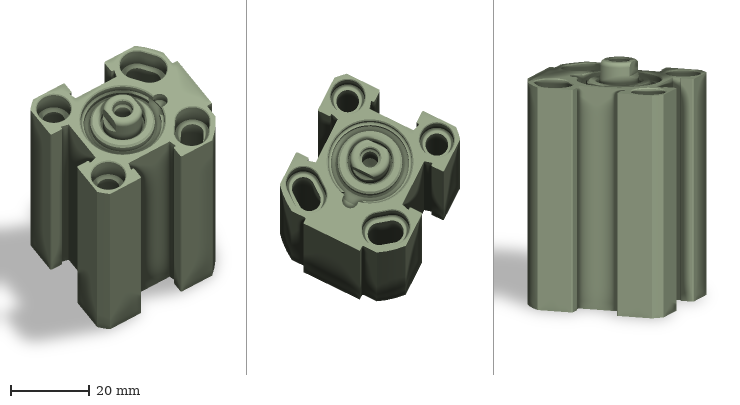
import cadquery as cq
import math


total_height = 63.0
housing_height = 58.0

housing_half_width = 36.0 / 2
housing_back = 20.5
corner_radius = 23.8
tab_half_width = 8.05
tab_back = 40.0 - housing_half_width
tab_root_chamfer = 0.25

slot_mouth_half_width = 6.05
slot_mouth_radius = 0.4
slot_lip_chamfer = 0.2
slot_lip_distance = 14.4
slot_undercut_half_width = 6.85
slot_floor_half_width = 6.3
slot_floor_distance = 12.35

hole_offset = 12.7
hole_diameter = 5.8
counterbore_diameter = 8.8
counterbore_depth = 5.5
counterbore_chamfer = 0.25
elongation_x = 2.8
elongation_y = 2.1

bore_diameter = 21.6
bore_chamfer = 0.3
bore_depth = 12.6
bore_floor = housing_height - bore_depth

ring_outer_diameter = 22.8
ring_inner_diameter = 20.0
ring_thickness = 1.15
ring_top = housing_height - 1.8
ring_bottom = ring_top - ring_thickness
ring_gap_half_width = 2.5
ring_gap_flare = math.radians(29)

notch_diameter = 4.15
notch_distance = 11.3
notch_depth = 2.5

boss_diameter = 16.5
boss_top = housing_height - 0.4
boss_chamfer = 0.5
boss_foot_diameter = 17.6
collar_recess_diameter = 11.4
collar_recess_chamfer = 0.5
collar_recess_depth = 2.0
collar_lead_in_diameter = 10.45

rod_diameter = 10.0
rod_tip_fillet = 1.15
flat_distance = 8.0 / 2
flat_height = 3.5
rod_hole_rim_diameter = 5.8
rod_hole_entry_diameter = 5.2
rod_hole_entry_depth = 1.8
rod_hole_diameter = 4.15
rod_hole_depth = 10.1
drill_tip_half_angle = math.radians(59)


def cylinder(diameter, bottom, top, centre=(0, 0), taper=0):
    """Upright cylinder between two heights; a negative taper widens it upward."""
    return (
        cq.Workplane("XY")
        .workplane(offset=bottom)
        .center(*centre)
        .circle(diameter / 2)
        .extrude(top - bottom, taper=taper)
    )


def revolve_profile(points):
    """Turn a closed (radius, height) profile around the Z axis."""
    return cq.Workplane("XZ").polyline(points).close().revolve(360, (0, 0, 0), (0, 1, 0))


def rounded_block():
    """Plain block whose corners follow one large cylinder around the Z axis."""
    depth = housing_half_width + housing_back
    block = (
        cq.Workplane("XY")
        .center(0, (housing_back - housing_half_width) / 2)
        .rect(2 * housing_half_width, depth)
        .extrude(housing_height)
    )
    return block.intersect(cylinder(2 * corner_radius, 0, housing_height))


def back_tab():
    """Raised flat along the back face, widened by a small chamfer at its root."""
    root_half_width = tab_half_width + tab_root_chamfer
    half_outline = [
        (root_half_width, 0),
        (root_half_width, housing_back),
        (tab_half_width, housing_back + tab_root_chamfer),
        (tab_half_width, tab_back),
    ]
    mirrored = [(-x, y) for x, y in reversed(half_outline)]
    return cq.Workplane("XY").polyline(half_outline + mirrored).close().extrude(housing_height)


def face_slot(angle):
    """Front undercut slot cutter with rounded mouth edges, turned by an angle about the Z axis."""
    half_outline = [
        (slot_mouth_half_width + slot_mouth_radius, -housing_half_width),
        (slot_mouth_half_width, -housing_half_width + slot_mouth_radius),
        (slot_mouth_half_width, -slot_lip_distance - slot_lip_chamfer),
        (slot_mouth_half_width + slot_lip_chamfer, -slot_lip_distance),
        (slot_undercut_half_width, -slot_lip_distance),
        (slot_floor_half_width, -slot_floor_distance),
    ]
    mirrored = [(-x, y) for x, y in reversed(half_outline)]
    cutter = (
        cq.Workplane("XY")
        .moveTo(*half_outline[0])
        .radiusArc(half_outline[1], slot_mouth_radius)
        .polyline(half_outline[2:] + mirrored[:-1], includeCurrent=True)
        .radiusArc(mirrored[-1], slot_mouth_radius)
        .close()
        .extrude(housing_height)
    )
    return cutter.rotate((0, 0, 0), (0, 0, 1), angle)


def elongated_cylinder(diameter, bottom, top, start, end, taper=0):
    """Upright obround between two end centres; a negative taper widens it upward."""
    length = math.dist(start, end)
    angle = math.degrees(math.atan2(end[1] - start[1], end[0] - start[0]))
    middle = ((start[0] + end[0]) / 2, (start[1] + end[1]) / 2)
    return (
        cq.Workplane("XY")
        .workplane(offset=bottom)
        .center(*middle)
        .slot2D(length + diameter, diameter, angle)
        .extrude(top - bottom, taper=taper)
    )


def mounting_hole(make_shape, *centres):
    """Counterbored through hole with a chamfered rim; make_shape gives it a round or obround section."""
    floor = housing_height - counterbore_depth
    rim_bottom = housing_height - counterbore_chamfer
    through = make_shape(hole_diameter, 0, housing_height, *centres)
    counterbore = make_shape(counterbore_diameter, floor, housing_height, *centres)
    rim = make_shape(counterbore_diameter, rim_bottom, housing_height, *centres, taper=-45)
    return through.union(counterbore).union(rim)


def bore_cutter():
    """Chamfered bore with the groove for the retaining ring."""
    bore_radius = bore_diameter / 2
    groove_radius = ring_outer_diameter / 2
    return revolve_profile([
        (0, bore_floor),
        (bore_radius, bore_floor),
        (bore_radius, ring_bottom),
        (groove_radius, ring_bottom),
        (groove_radius, ring_top),
        (bore_radius, ring_top),
        (bore_radius, housing_height - bore_chamfer),
        (bore_radius + bore_chamfer, housing_height),
        (0, housing_height),
    ])


def make_housing():
    body = rounded_block().union(back_tab())
    for angle in (-90, 0, 90):
        body = body.cut(face_slot(angle))
    for side in (-1, 1):
        front_centre = (side * hole_offset, -hole_offset)
        back_outer = (side * hole_offset, hole_offset)
        back_inner = (side * (hole_offset - elongation_x), hole_offset + elongation_y)
        body = body.cut(mounting_hole(cylinder, front_centre))
        body = body.cut(mounting_hole(elongated_cylinder, back_outer, back_inner))
    notch = cylinder(
        notch_diameter, housing_height - notch_depth, housing_height, (0, notch_distance)
    )
    return body.cut(bore_cutter()).cut(notch)


def make_retaining_ring():
    """Split ring whose gap flares outward."""
    inner_radius = ring_inner_diameter / 2
    outer_radius = ring_outer_diameter / 2
    gap_inner_y = math.sqrt(inner_radius**2 - ring_gap_half_width**2)
    flare_width = (outer_radius - gap_inner_y) / math.tan(ring_gap_flare)
    gap_outer_half_width = ring_gap_half_width + flare_width
    gap = (
        cq.Workplane("XY")
        .workplane(offset=ring_bottom)
        .polyline([
            (-ring_gap_half_width, 0),
            (ring_gap_half_width, 0),
            (ring_gap_half_width, gap_inner_y),
            (gap_outer_half_width, outer_radius),
            (-gap_outer_half_width, outer_radius),
            (-ring_gap_half_width, gap_inner_y),
        ])
        .close()
        .extrude(ring_thickness)
    )
    ring = cylinder(ring_outer_diameter, ring_bottom, ring_top)
    return ring.cut(cylinder(ring_inner_diameter, ring_bottom, ring_top)).cut(gap)


def make_collar():
    """Turned collar with a raised boss and a stepped rod bore."""
    boss_radius = boss_diameter / 2
    foot_radius = boss_foot_diameter / 2
    recess_radius = collar_recess_diameter / 2
    lead_in_radius = collar_lead_in_diameter / 2
    rod_radius = rod_diameter / 2
    recess_floor = boss_top - collar_recess_depth
    return revolve_profile([
        (rod_radius, bore_floor),
        (bore_diameter / 2, bore_floor),
        (bore_diameter / 2, ring_bottom),
        (foot_radius, ring_bottom),
        (boss_radius, ring_bottom + foot_radius - boss_radius),
        (boss_radius, boss_top - boss_chamfer),
        (boss_radius - boss_chamfer, boss_top),
        (recess_radius + collar_recess_chamfer, boss_top),
        (recess_radius, boss_top - collar_recess_chamfer),
        (recess_radius, recess_floor),
        (lead_in_radius, recess_floor),
        (rod_radius, recess_floor - (lead_in_radius - rod_radius)),
    ])


def rod_end_hole():
    """Stepped blind hole in the rod tip, ending in a drill point."""
    rim_radius = rod_hole_rim_diameter / 2
    entry_radius = rod_hole_entry_diameter / 2
    hole_radius = rod_hole_diameter / 2
    entry_floor = total_height - rod_hole_entry_depth
    hole_floor = total_height - rod_hole_depth
    return revolve_profile([
        (0, total_height),
        (rim_radius, total_height),
        (entry_radius, total_height - (rim_radius - entry_radius)),
        (entry_radius, entry_floor),
        (hole_radius, entry_floor - (entry_radius - hole_radius)),
        (hole_radius, hole_floor),
        (0, hole_floor - hole_radius / math.tan(drill_tip_half_angle)),
    ])


def wrench_flat(side):
    """Cutter for one flat across the rod tip, with a run-out at 45 degrees below it."""
    flat_bottom = total_height - flat_height
    run_out = rod_diameter / 2 - flat_distance
    return (
        cq.Workplane("YZ")
        .polyline([
            (side * flat_distance, total_height),
            (side * flat_distance, flat_bottom),
            (side * (flat_distance + run_out), flat_bottom - run_out),
            (side * (flat_distance + run_out), total_height),
        ])
        .close()
        .extrude(rod_diameter / 2, both=True)
    )


def make_rod():
    rod = cylinder(rod_diameter, bore_floor, total_height).faces(">Z").edges().fillet(rod_tip_fillet)
    for side in (-1, 1):
        rod = rod.cut(wrench_flat(side))
    return rod.cut(rod_end_hole())


housing = make_housing()
retaining_ring = make_retaining_ring()
collar = make_collar()
rod = make_rod()

result = cq.Compound.makeCompound([
    housing.solids().val(),
    retaining_ring.solids().val(),
    collar.solids().val(),
    rod.solids().val(),
])